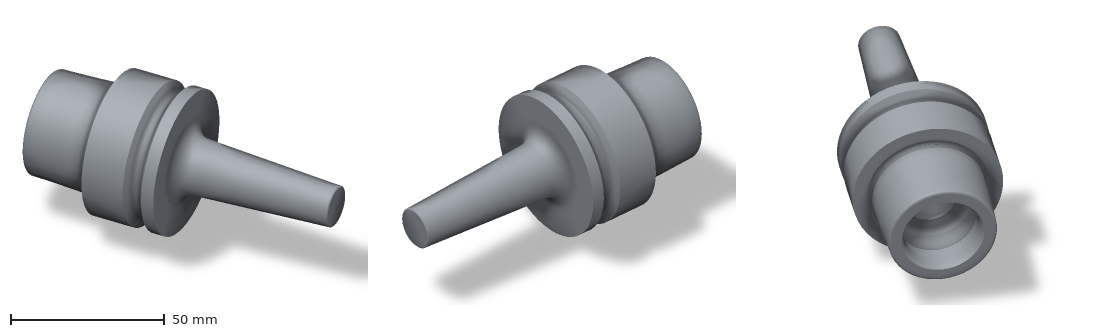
import cadquery as cq
import math

total_length = 104.9

mouth_radius = 18.0
mouth_round = 0.9
gauge_radius = 19.0
taper_end = 22.9
neck_start = 23.6
neck_radius = 18.7
neck_round = 0.8

flange_radius = 25.02
flange_start = 24.9
flange_end = 50.8
groove_start = 39.7
groove_end = 46.4
groove_floor_radius = 21.7
groove_wall_angle = 60.0
groove_corner_round = 1.0

relief_outer_radius = 20.4
relief_floor_radius = 19.7
relief_depth = 0.3
neck_root_round = 0.6

nose_tip_radius = 7.0
nose_half_angle = 3.0
nose_fillet = 5.0
tip_chamfer = 0.3

mouth_chamfer_radius = 13.7
mouth_chamfer_angle = 30.0
bore_radius = 13.0
clamp_shoulder = 9.7
chamber_radius = 13.6
chamber_end = 19.9
chamber_floor_round = 2.0

pilot_radius = 7.0
pilot_chamfer = 1.3
pilot_depth = 6.3


def disc(start, radius, length):
    return cq.Workplane("YZ", origin=(start, 0, 0)).circle(radius).extrude(length)


def polar_point(center_x, center_radius, distance, degrees):
    angle = math.radians(degrees)
    return (center_x + distance * math.cos(angle), center_radius + distance * math.sin(angle))


def revolve_about_x(outline):
    return outline.close().revolve(360, (0, 0, 0), (1, 0, 0))


def make_shank():
    outline = (
        cq.Workplane("XY")
        .lineTo(0, mouth_radius)
        .lineTo(taper_end, gauge_radius)
        .lineTo(neck_start, neck_radius)
        .lineTo(flange_end, neck_radius)
        .lineTo(flange_end, 0)
    )
    shank = revolve_about_x(outline).faces("<X").edges().fillet(mouth_round)
    neck_edge = cq.selectors.NearestToPointSelector((neck_start, 0, 0))
    return shank.edges(neck_edge).fillet(neck_round)


def make_flange():
    return disc(flange_start, flange_radius, flange_end - flange_start)


def make_gripper_groove():
    wall_run = (flange_radius - groove_floor_radius) / math.tan(math.radians(groove_wall_angle))
    floor_start = groove_start + wall_run
    floor_end = groove_end - wall_run
    outline = (
        cq.Workplane("XY")
        .moveTo(groove_start, flange_radius)
        .lineTo(floor_start, groove_floor_radius)
        .lineTo(floor_end, groove_floor_radius)
        .lineTo(groove_end, flange_radius)
    )
    ring = revolve_about_x(outline)
    floor_edges = cq.selectors.RadiusNthSelector(0)
    return ring.edges(floor_edges).fillet(groove_corner_round)


def make_face_relief():
    relief_floor = flange_start + relief_depth
    root_start = relief_floor - neck_root_round
    root_radius = neck_radius + neck_root_round
    outline = (
        cq.Workplane("XY")
        .moveTo(root_start, neck_radius)
        .threePointArc(
            polar_point(root_start, root_radius, neck_root_round, -45),
            (relief_floor, root_radius),
        )
        .lineTo(relief_floor, relief_floor_radius)
        .lineTo(flange_start, relief_outer_radius)
        .lineTo(root_start, relief_outer_radius)
    )
    return revolve_about_x(outline)


def make_nose():
    blend_x = flange_end + nose_fillet
    root_direction = 270 - nose_half_angle
    root_offset_x, root_offset_radius = polar_point(0, 0, nose_fillet, root_direction)
    nose_root = blend_x + root_offset_x
    nose_root_radius = nose_tip_radius + (total_length - nose_root) * math.tan(math.radians(nose_half_angle))
    blend_radius = nose_root_radius - root_offset_radius
    outline = (
        cq.Workplane("XY")
        .moveTo(flange_end, 0)
        .lineTo(flange_end, blend_radius)
        .threePointArc(
            polar_point(blend_x, blend_radius, nose_fillet, (180 + root_direction) / 2),
            (nose_root, nose_root_radius),
        )
        .lineTo(total_length, nose_tip_radius)
        .lineTo(total_length, 0)
    )
    return revolve_about_x(outline).faces(">X").edges().chamfer(tip_chamfer)


def make_bore():
    mouth_chamfer_end = (mouth_chamfer_radius - bore_radius) / math.tan(math.radians(mouth_chamfer_angle))
    outline = (
        cq.Workplane("XY")
        .lineTo(0, mouth_chamfer_radius)
        .lineTo(mouth_chamfer_end, bore_radius)
        .lineTo(clamp_shoulder, bore_radius)
        .lineTo(clamp_shoulder, chamber_radius)
        .lineTo(chamber_end, chamber_radius)
        .lineTo(chamber_end, 0)
    )
    return revolve_about_x(outline).faces(">X").edges().fillet(chamber_floor_round)


def make_pilot():
    outline = (
        cq.Workplane("XY")
        .moveTo(chamber_end, 0)
        .lineTo(chamber_end, pilot_radius + pilot_chamfer)
        .lineTo(chamber_end + pilot_chamfer, pilot_radius)
        .lineTo(chamber_end + pilot_depth, pilot_radius)
        .lineTo(chamber_end + pilot_depth, 0)
    )
    return revolve_about_x(outline)


result = make_shank().union(make_flange()).union(make_nose())
for pocket in (make_gripper_groove(), make_face_relief(), make_bore(), make_pilot()):
    result = result.cut(pocket)